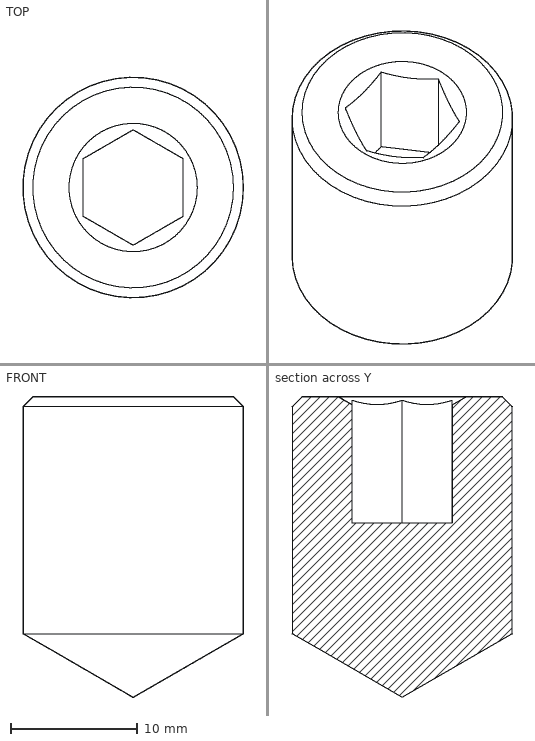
import cadquery as cq
import math

body_diameter = 17.45
overall_length = 23.8
point_slope = math.radians(30)

rim_chamfer = 0.79

hex_sides = 6
hex_across_flats = 7.9
hex_depth = 10.0
hex_turn = 90
countersink_diameter = 10.15
countersink_slope = math.radians(30)

body_radius = body_diameter / 2
point_height = body_radius * math.tan(point_slope)
hex_across_corners = hex_across_flats / math.cos(math.pi / hex_sides)


def make_body():
    """Revolve the half profile: cone point, shank and chamfered rim."""
    return (
        cq.Workplane("XZ")
        .moveTo(0, 0)
        .lineTo(body_radius, point_height)
        .lineTo(body_radius, overall_length - rim_chamfer)
        .lineTo(body_radius - rim_chamfer, overall_length)
        .lineTo(0, overall_length)
        .close()
        .revolve(360, (0, 0, 0), (0, 1, 0))
    )


def make_hex_socket():
    """Blind hexagonal socket, open at the top face."""
    return (
        cq.Workplane("XY")
        .workplane(offset=overall_length - hex_depth)
        .transformed(rotate=(0, 0, hex_turn))
        .polygon(hex_sides, hex_across_corners)
        .extrude(hex_depth)
    )


def make_countersink():
    """Cone that breaks the mouth of the socket."""
    radius = countersink_diameter / 2
    depth = radius * math.tan(countersink_slope)
    return (
        cq.Workplane("XZ")
        .moveTo(0, overall_length - depth)
        .lineTo(radius, overall_length)
        .lineTo(0, overall_length)
        .close()
        .revolve(360, (0, 0, 0), (0, 1, 0))
    )


result = make_body().cut(make_hex_socket().union(make_countersink()))